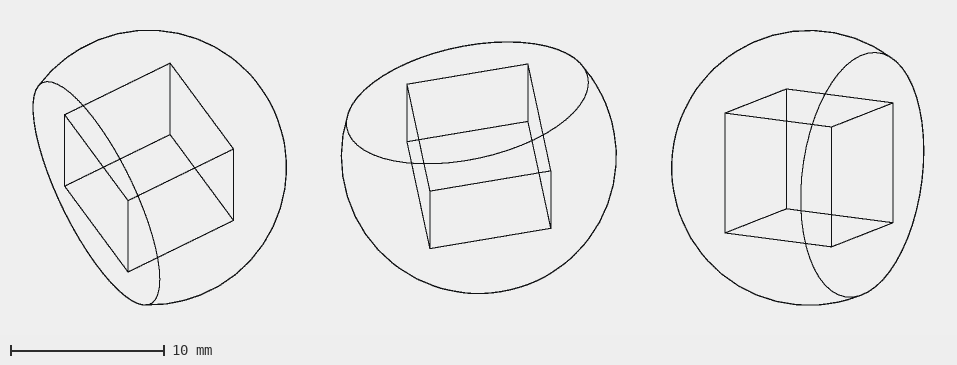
import cadquery as cq
import math

ball_diameter = 17.89
length_y = 12.93
socket_side = 8.0
socket_depth = socket_side

ball_radius = ball_diameter / 2
flat_y = ball_radius - length_y
flat_radius = math.sqrt(ball_radius**2 - flat_y**2)


def truncated_ball():
    """Ball cut off by a flat facing -Y, revolved about the Y axis."""
    return (
        cq.Workplane("XY")
        .moveTo(0, flat_y)
        .lineTo(flat_radius, flat_y)
        .threePointArc((ball_radius, 0), (0, ball_radius))
        .close()
        .revolve(360, (0, 0, 0), (0, 1, 0))
    )


def square_socket():
    """Square pocket running from the flat into the ball along +Y."""
    return (
        cq.Workplane("XY")
        .box(socket_side, socket_depth, socket_side, centered=(True, False, True))
        .translate((0, flat_y, 0))
    )


result = truncated_ball().cut(square_socket())